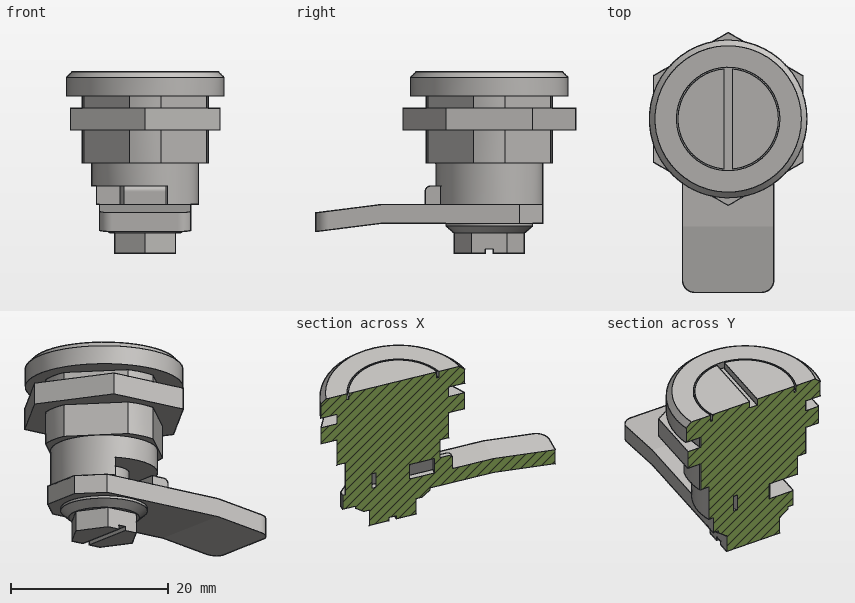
import cadquery as cq
import math


head_bottom = -3.1
nut_top = -4.6
nut_bottom = -7.38
barrel_bottom = -11.57
collar_bottom = -14.47
lever_top = -16.8
lever_bottom = -19.2
washer_rim_bottom = -19.55
washer_bottom = -20.45
screw_bottom = -23.0

head_radius = 10.005
head_chamfer = 0.73
insert_radius = 6.35
insert_gap = 0.2
key_slot_width = 1.1
key_slot_depth = 1.0

barrel_radius = 8.0
barrel_flats = 13.78
nut_flats = 19.0
collar_radius = 6.8
stop_wall_offset = 2.8
hub_radius = 3.15

lever_width = 11.6
lever_thickness = lever_top - lever_bottom
lever_back_chamfer = 2.95
lever_bend_y = -13.65
overall_length = 32.95
lever_tip_y = nut_flats / 2 / math.cos(math.pi / 6) - overall_length
lever_tip_drop = 1.05
lever_corner_radius = 1.58
lug_width = 5.35
lug_back_y = -5.65
lug_front_y = -8.15
lug_round = 0.73

washer_radius = 5.5
washer_small_radius = 4.48
screw_flats = 7.7
screw_slot_width = 1.0
screw_slot_depth = 0.53


def cylinder(radius, bottom, top):
    return cq.Workplane("XY").workplane(offset=bottom).circle(radius).extrude(top - bottom)


def hexagon(across_flats, bottom, top):
    """Hexagonal prism with two corners on the Y axis."""
    corner_diameter = across_flats / math.cos(math.pi / 6)
    prism = cq.Workplane("XY").workplane(offset=bottom).polygon(6, corner_diameter).extrude(top - bottom)
    return prism.rotate((0, 0, 0), (0, 0, 1), 30)


def block(x_range, y_range, z_range):
    corner = (x_range[0], y_range[0], z_range[0])
    sizes = [end - start for start, end in (x_range, y_range, z_range)]
    return cq.Workplane("XY").box(*sizes, centered=False).translate(corner)


def make_head():
    head = cylinder(head_radius, head_bottom, 0).faces(">Z").chamfer(head_chamfer)
    gap_ring = cylinder(insert_radius + insert_gap, -key_slot_depth, 0)
    gap_ring = gap_ring.cut(cylinder(insert_radius, -key_slot_depth, 0))
    key_slot = block(
        (-key_slot_width / 2, key_slot_width / 2),
        (-insert_radius, insert_radius),
        (-key_slot_depth, 0),
    )
    return head.cut(gap_ring).cut(key_slot)


def make_barrel():
    """Threaded barrel with four diagonal flats."""
    square = (
        cq.Workplane("XY")
        .workplane(offset=barrel_bottom)
        .rect(barrel_flats, barrel_flats)
        .extrude(head_bottom - barrel_bottom)
        .rotate((0, 0, 0), (0, 0, 1), 45)
    )
    return cylinder(barrel_radius, barrel_bottom, head_bottom).intersect(square)


def make_collar():
    """Collar whose lower skirt is cut back to leave two stop walls for the hub."""
    collar = cylinder(collar_radius, lever_top, barrel_bottom)
    swing_space = block(
        (-collar_radius, stop_wall_offset),
        (-collar_radius, stop_wall_offset),
        (lever_top, collar_bottom),
    )
    return collar.cut(swing_space).union(cylinder(hub_radius, lever_top, collar_bottom))


def make_lever():
    """Flat arm with a chamfered back end, a drooping tip and a stop lug on top."""
    back_y = collar_radius
    half_width = lever_width / 2
    side = (
        cq.Workplane("YZ")
        .moveTo(back_y, lever_top)
        .lineTo(lever_bend_y, lever_top)
        .lineTo(lever_tip_y, lever_top - lever_tip_drop)
        .lineTo(lever_tip_y, lever_top - lever_tip_drop - lever_thickness)
        .lineTo(lever_bend_y, lever_bottom)
        .lineTo(back_y, lever_bottom)
        .close()
        .extrude(half_width, both=True)
    )
    plan_bottom = lever_bottom - lever_tip_drop
    plan = (
        cq.Workplane("XY")
        .workplane(offset=plan_bottom)
        .moveTo(-half_width, lever_tip_y)
        .lineTo(half_width, lever_tip_y)
        .lineTo(half_width, back_y - lever_back_chamfer)
        .lineTo(half_width - lever_back_chamfer, back_y)
        .lineTo(-half_width + lever_back_chamfer, back_y)
        .lineTo(-half_width, back_y - lever_back_chamfer)
        .close()
        .extrude(lever_top - plan_bottom)
        .edges("|Z and <Y")
        .fillet(lever_corner_radius)
    )
    lug = block(
        (-lug_width / 2, lug_width / 2),
        (lug_front_y, lug_back_y),
        (lever_top, collar_bottom),
    )
    lug = lug.edges(">Z and <Y").fillet(lug_round)
    return side.intersect(plan).union(lug)


def make_screw():
    """Tapered washer and slotted hexagon head below the lever."""
    washer = (
        cq.Workplane("XZ")
        .moveTo(0, lever_bottom)
        .lineTo(washer_radius, lever_bottom)
        .lineTo(washer_radius, washer_rim_bottom)
        .lineTo(washer_small_radius, washer_bottom)
        .lineTo(0, washer_bottom)
        .close()
        .revolve(360, (0, 0, 0), (0, 1, 0))
    )
    slot = block(
        (-screw_flats, screw_flats),
        (-screw_slot_width / 2, screw_slot_width / 2),
        (screw_bottom, screw_bottom + screw_slot_depth),
    )
    return washer.union(hexagon(screw_flats, screw_bottom, washer_bottom).cut(slot))


nut = hexagon(nut_flats, nut_bottom, nut_top)
result = make_head().union(make_barrel()).union(nut).union(make_collar()).union(make_lever()).union(make_screw())